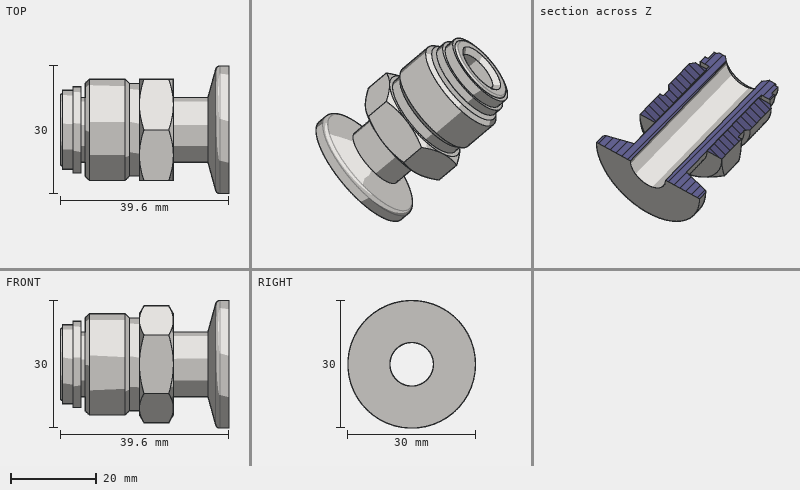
import cadquery as cq
import math


total_length = 39.6
tube_radius = 7.62
bore_radius = 5.08
mouth_radius = 6.35
mouth_depth = 1.3

lip_radius = 8.5
lip_length = 0.5
nose_radius = 9.3
nose_end = 2.95
collar_radius = 10.16
collar_end = 4.9

flange_radius = 15.0
flange_rim_width = 2.2
flange_cone_start = 34.6
flange_cone_angle = 15.0
flange_edge_fillet = 1.0

barrel_radius = 11.9
barrel_chamfer = 1.0
barrel_start = 5.8
barrel_end = 16.2
neck_radius = barrel_radius - barrel_chamfer
hex_start = 18.55
hex_end = 26.5
hex_across_flats = 23.8
hex_chamfer_angle = 30.0


def revolve_about_x(profile):
    return profile.close().revolve(360, (0, 0, 0), (1, 0, 0))


def make_spool():
    """Turned tube with nose steps, flange, through bore and coned mouth."""
    slope = math.radians(flange_cone_angle)
    fillet_x = total_length - flange_rim_width
    fillet_r = flange_radius - flange_edge_fillet
    cone_end_x = fillet_x - flange_edge_fillet * math.cos(slope)
    cone_end_r = fillet_r + flange_edge_fillet * math.sin(slope)
    mid_angle = slope / 2 + math.pi / 4
    fillet_mid = (
        fillet_x - flange_edge_fillet * math.cos(mid_angle),
        fillet_r + flange_edge_fillet * math.sin(mid_angle),
    )
    lip_bend = lip_length * (1 - math.sqrt(0.5))
    profile = (
        cq.Workplane("XY")
        .moveTo(0, mouth_radius)
        .lineTo(0, lip_radius - lip_length)
        .threePointArc((lip_bend, lip_radius - lip_bend), (lip_length, lip_radius))
        .lineTo(lip_length, nose_radius)
        .lineTo(nose_end, nose_radius)
        .lineTo(nose_end, collar_radius)
        .lineTo(collar_end, collar_radius)
        .lineTo(collar_end, tube_radius)
        .lineTo(flange_cone_start, tube_radius)
        .lineTo(cone_end_x, cone_end_r)
        .threePointArc(fillet_mid, (fillet_x, flange_radius))
        .lineTo(total_length, flange_radius)
        .lineTo(total_length, bore_radius)
        .lineTo(mouth_depth, bore_radius)
    )
    return revolve_about_x(profile)


def make_hexagon():
    """Hexagon with corners up and down, both ends turned to a cone."""
    corner_radius = hex_across_flats / math.sqrt(3)
    flat_radius = hex_across_flats / 2
    cone_length = (corner_radius - flat_radius) * math.tan(math.radians(hex_chamfer_angle))
    prism = (
        cq.Workplane("YZ", origin=(hex_start, 0, 0))
        .polygon(6, 2 * corner_radius)
        .extrude(hex_end - hex_start)
        .rotate((0, 0, 0), (1, 0, 0), 90)
    )
    envelope = revolve_about_x(
        cq.Workplane("XY")
        .moveTo(hex_start, 0)
        .lineTo(hex_start, flat_radius)
        .lineTo(hex_start + cone_length, corner_radius)
        .lineTo(hex_end - cone_length, corner_radius)
        .lineTo(hex_end, flat_radius)
        .lineTo(hex_end, 0)
    )
    return prism.intersect(envelope)


def make_nut():
    """Barrel, neck and hexagon in one piece, bored to fit the tube."""
    barrel = revolve_about_x(
        cq.Workplane("XY")
        .moveTo(barrel_start, 0)
        .lineTo(barrel_start, barrel_radius - barrel_chamfer)
        .lineTo(barrel_start + barrel_chamfer, barrel_radius)
        .lineTo(barrel_end - barrel_chamfer, barrel_radius)
        .lineTo(barrel_end, neck_radius)
        .lineTo(hex_start, neck_radius)
        .lineTo(hex_start, 0)
    )
    tube_hole = (
        cq.Workplane("YZ", origin=(barrel_start, 0, 0))
        .circle(tube_radius)
        .extrude(hex_end - barrel_start)
    )
    return barrel.union(make_hexagon()).cut(tube_hole)


spool = make_spool()
nut = make_nut()

result = cq.Compound.makeCompound([spool.val(), nut.val()])